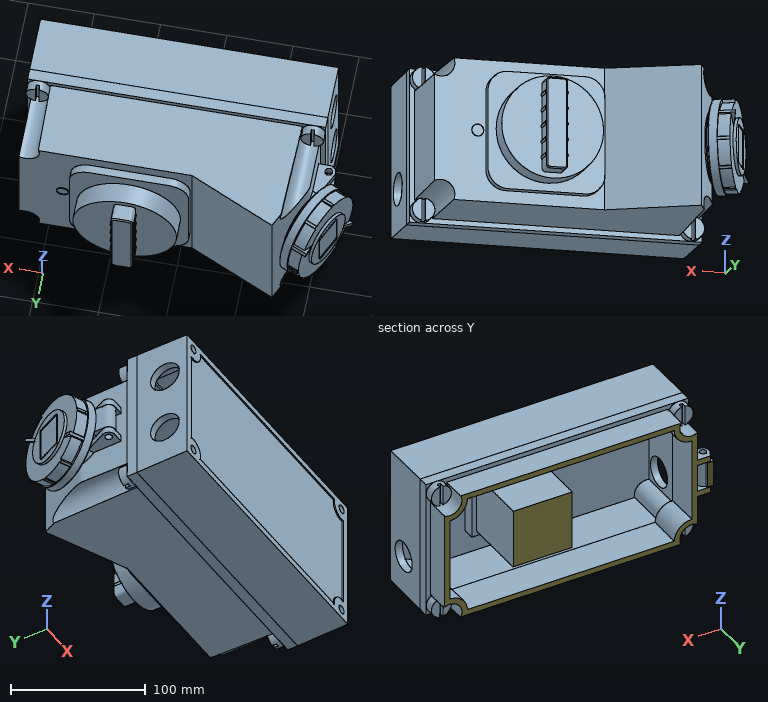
import cadquery as cq
import math

BOX_LENGTH = 225.3
BOX_WIDTH = 118.0
BASE_HEIGHT = 44.0
BASE_DRAFT = 0.5
WALL = 6.3
FLOOR = 5.0
PANEL_RECESS = 1.0

SCREW_INSET_X = 8.8
SCREW_INSET_Z = 8.5
SCREW_X = (SCREW_INSET_X, BOX_LENGTH - SCREW_INSET_X)
SCREW_Z = (SCREW_INSET_Z - BOX_WIDTH / 2, BOX_WIDTH / 2 - SCREW_INSET_Z)
SCREW_POINTS = [(x, z) for x in SCREW_X for z in SCREW_Z]
SCREW_HOLE_RADIUS = 3.4
BOSS_RADIUS = 10.0
HEAD_RADIUS = 8.5
HEAD_HEIGHT = 7.5
SLOT_WIDTH = 2.5
SLOT_DEPTH = 3.8

CABLE_RADIUS = 12.5
CABLE_Y = 19.5
CABLE_Z = 25.5

FLANGE_HEIGHT = 8.5
FLANGE_TOP = BASE_HEIGHT + FLANGE_HEIGHT
COVER_INSET = 3.91
COVER_WALL = 5.0
COVER_DRAFT = 1.0
DECK_Y = 108.5
PEAK_X = 24.37
PEAK_Y = 139.5
SLANT_ANGLE = 25.0
SLANT_FILLET = 8.8
GROOVE_RADIUS = 9.9
GROOVE_TAPER = 0.9

SWITCH_X = 137.0
SWITCH_PLATE_SIZE = 90.0
SWITCH_PLATE_TOP = 115.0
SWITCH_PLATE_CORNER = 15.2
NECK_RADIUS = 16.0
KNOB_RADIUS = 39.1
KNOB_BOTTOM = 116.5
KNOB_TOP = 132.0
HANDLE_LENGTH = 69.7
HANDLE_WIDTH = 16.5
HANDLE_TOP = 145.2
HANDLE_CORNER = 3.0
HANDLE_CHAMFER = 1.0
GRIP_COUNT = 5
GRIP_PITCH = 12.0
GRIP_RADIUS = 1.65
GRIP_PROUD = 0.63
GRIP_TOP = 144.0
MECHANISM_BOTTOM = 8.3
MECHANISM_STEP_Y = 18.5
MECHANISM_FOOT_LENGTH = 58.5
MECHANISM_FOOT_WIDTH = 58.5
MECHANISM_LENGTH = 50.5
MECHANISM_WIDTH = 50.5
LAMP_X = 188.2
LAMP_RADIUS = 4.5
LAMP_HEIGHT = 0.63

SOCKET_FROM_PEAK = 40.0
COLLAR_RADIUS = 29.0
COLLAR_NECK_RADIUS = 25.3
COLLAR_RIM_START = 1.5
COLLAR_FLARE_START = -0.3
COLLAR_ROOT = -15.2
CAP_BACK = 3.0
CAP_LIP_TOP = 4.42
CAP_LIP_RADIUS = 33.3
CAP_BAND_TOP = 11.0
CAP_BAND_RADIUS = 36.0
CAP_FRONT = 20.58
CAP_GRIP_RADIUS = 34.9
CAP_RELIEF_RADIUS = 33.3
CAP_RIB_COUNT = 10
CAP_RIB_RADIUS = 35.9
CAP_RIB_WIDTH = 2.3
CAP_DISC_RADIUS = 21.6
CAP_DISC_TOP = 23.0
CAP_FIN_TOP = 24.0
CAP_RIB_START = 3.0
CAP_FIN_RIBS = (4, 9)
CAP_FIN_WIDTH = 2.5
CAP_LABEL_HEIGHT = 22.5
CAP_LABEL_WIDTH = 29.3
CAP_LABEL_DEPTH = 0.8
CAP_LABEL_CORNER = 1.3

HINGE_X = -4.8
HINGE_Y = 65.55
HINGE_RADIUS = 5.3
EAR_HALF_OUTER = 16.7
EAR_HALF_INNER = 11.4
EAR_TIP_X = -0.3
EAR_TIP_Y = 87.5
EAR_ROOT_Y = 86.0
EAR_HOLE_RADIUS = 2.8
BARREL_HALF_LENGTH = 11.0
BARREL_BORE_RADIUS = 1.8
FLAP_TOP_Y = 77.0
FLAP_BEND_X = -3.8
FLAP_BEND_Y = 76.3

SIN_SLANT = math.sin(math.radians(SLANT_ANGLE))
COS_SLANT = math.cos(math.radians(SLANT_ANGLE))
TAN_SLANT = math.tan(math.radians(SLANT_ANGLE))
SOCKET_X = PEAK_X - SOCKET_FROM_PEAK * SIN_SLANT
SOCKET_Y = PEAK_Y - SOCKET_FROM_PEAK * COS_SLANT


def level(y):
    """Workplane facing +Y at height y; local x is X and local y is -Z."""
    return cq.Workplane(cq.Plane((0, y, 0), xDir=(1, 0, 0), normal=(0, 1, 0)))


def socket_level(height):
    """Workplane on the socket axis facing out; local x runs down the slant, local y is Z."""
    origin = (SOCKET_X - height * COS_SLANT, SOCKET_Y + height * SIN_SLANT, 0)
    plane = cq.Plane(origin, xDir=(-SIN_SLANT, -COS_SLANT, 0), normal=(-COS_SLANT, SIN_SLANT, 0))
    return cq.Workplane(plane)


def socket_disc(radius, bottom, top):
    return socket_level(bottom).circle(radius).extrude(top - bottom)


def block(x_range, y_range, z_range):
    """Box between the given limits on each axis."""
    (x0, x1), (y0, y1), (z0, z1) = x_range, y_range, z_range
    return cq.Workplane("XY").box(x1 - x0, y1 - y0, z1 - z0, centered=False).translate((x0, y0, z0))


def tapered_bar(y0, half_width0, y1, half_width1):
    """Bar over the box length whose half width changes from y0 to y1."""
    section = [(y0, -half_width0), (y1, -half_width1), (y1, half_width1), (y0, half_width0)]
    return cq.Workplane("YZ").polyline(section).close().extrude(BOX_LENGTH)


def inner_panel(bottom, height):
    """Rectangle inside the walls, with its corners cut back around the screw bosses."""
    panel = (
        level(bottom)
        .center(BOX_LENGTH / 2, 0)
        .rect(BOX_LENGTH - 2 * WALL, BOX_WIDTH - 2 * WALL)
        .extrude(height)
    )
    bosses = level(bottom).pushPoints(SCREW_POINTS).circle(BOSS_RADIUS).extrude(height)
    return panel.cut(bosses)


def cable_hole(x_start, z):
    return (
        cq.Workplane("YZ", origin=(x_start, 0, 0))
        .center(CABLE_Y, z)
        .circle(CABLE_RADIUS)
        .extrude(WALL)
    )


def make_base():
    half_width = BOX_WIDTH / 2
    body = tapered_bar(0, half_width - BASE_DRAFT, BASE_HEIGHT, half_width)
    body = body.cut(inner_panel(0, PANEL_RECESS))
    body = body.cut(inner_panel(FLOOR, BASE_HEIGHT - FLOOR))
    body = body.cut(level(0).pushPoints(SCREW_POINTS).circle(SCREW_HOLE_RADIUS).extrude(BASE_HEIGHT))
    for z in (-CABLE_Z, CABLE_Z):
        body = body.cut(cable_hole(0, z))
    return body.cut(cable_hole(BOX_LENGTH - WALL, -CABLE_Z))


def hood(shrink, bottom):
    """Raised part of the cover, offset inwards by shrink and reaching down to bottom.

    It has a flat deck, a ramp up to the peak and a slanted socket face.
    """
    left = COVER_INSET + shrink
    right = BOX_LENGTH - left
    deck = DECK_Y - shrink
    peak_x = PEAK_X + shrink * (COS_SLANT - SIN_SLANT)
    peak_y = PEAK_Y - shrink * (COS_SLANT + SIN_SLANT)
    slant_foot_y = peak_y - (peak_x - left) / TAN_SLANT
    ramp_foot_x = peak_x + (peak_y - deck) / TAN_SLANT
    outline = [
        (left, bottom),
        (right, bottom),
        (right, deck),
        (ramp_foot_x, deck),
        (peak_x, peak_y),
        (left, slant_foot_y),
    ]
    body = cq.Workplane("XY").polyline(outline).close().extrude(BOX_WIDTH / 2, both=True)
    slant_foot = cq.selectors.NearestToPointSelector((left, slant_foot_y, 0))
    body = body.edges(slant_foot).fillet(SLANT_FILLET)
    half_width = BOX_WIDTH / 2 - left
    return body.intersect(tapered_bar(bottom, half_width, PEAK_Y, half_width - COVER_DRAFT))


def screw_grooves(radius, bottom):
    """Cones around the screw axes, widening from the given radius at bottom."""
    return (
        level(bottom)
        .pushPoints(SCREW_POINTS)
        .circle(radius)
        .extrude(PEAK_Y - bottom, taper=-GROOVE_TAPER)
    )


def cover_cavity():
    """Inside of the hood, with walls left around the screw grooves."""
    grooves = screw_grooves(GROOVE_RADIUS + COVER_WALL, BASE_HEIGHT)
    return hood(COVER_WALL, BASE_HEIGHT).cut(grooves)


def screw_heads():
    heads = level(FLANGE_TOP).pushPoints(SCREW_POINTS).circle(HEAD_RADIUS).extrude(HEAD_HEIGHT)
    slots = (
        level(FLANGE_TOP + HEAD_HEIGHT - SLOT_DEPTH)
        .pushPoints(SCREW_POINTS)
        .rect(SLOT_WIDTH, 2 * HEAD_RADIUS)
        .extrude(SLOT_DEPTH)
    )
    return heads.cut(slots)


def socket_collar():
    """Round neck out of the slanted face and end wall, flaring to the rim that meets the cap."""
    neck = socket_disc(COLLAR_NECK_RADIUS, COLLAR_ROOT, COLLAR_FLARE_START)
    flare = (
        socket_level(COLLAR_FLARE_START)
        .circle(COLLAR_NECK_RADIUS)
        .workplane(offset=COLLAR_RIM_START - COLLAR_FLARE_START)
        .circle(COLLAR_RADIUS)
        .loft()
    )
    rim = socket_disc(COLLAR_RADIUS, COLLAR_RIM_START, CAP_BACK)
    return neck.union(flare).union(rim)


def hinge_ear(z_start):
    """Ear with a round end about the hinge axis, tapering up along the cap."""
    thickness = EAR_HALF_OUTER - EAR_HALF_INNER
    cheek = [
        (COVER_INSET, HINGE_Y - HINGE_RADIUS),
        (COVER_INSET, EAR_ROOT_Y),
        (EAR_TIP_X, EAR_TIP_Y),
        (HINGE_X - HINGE_RADIUS * COS_SLANT, HINGE_Y + HINGE_RADIUS * SIN_SLANT),
        (HINGE_X, HINGE_Y - HINGE_RADIUS),
    ]
    plane = cq.Workplane("XY", origin=(0, 0, z_start))
    ear = plane.polyline(cheek).close().extrude(thickness)
    ear = ear.union(plane.center(HINGE_X, HINGE_Y).circle(HINGE_RADIUS).extrude(thickness))
    return ear.cut(plane.center(HINGE_X, HINGE_Y).circle(EAR_HOLE_RADIUS).extrude(thickness))


def switch_handle():
    height = HANDLE_TOP - KNOB_TOP
    bar = (
        level(KNOB_TOP)
        .center(SWITCH_X, 0)
        .rect(HANDLE_WIDTH, HANDLE_LENGTH)
        .extrude(height)
        .edges("|Y")
        .fillet(HANDLE_CORNER)
        .faces(">Y")
        .chamfer(HANDLE_CHAMFER)
    )
    offset = HANDLE_WIDTH / 2 + GRIP_PROUD - GRIP_RADIUS
    grip_points = [
        (SWITCH_X + side * offset, (i - (GRIP_COUNT - 1) / 2) * GRIP_PITCH)
        for side in (-1, 1)
        for i in range(GRIP_COUNT)
    ]
    grips = level(KNOB_TOP).pushPoints(grip_points).circle(GRIP_RADIUS).extrude(GRIP_TOP - KNOB_TOP)
    return bar.union(grips)


def switch_mechanism():
    """Switch body hanging from the deck, with a wider foot."""
    foot = (
        level(MECHANISM_BOTTOM)
        .center(SWITCH_X, 0)
        .rect(MECHANISM_FOOT_LENGTH, MECHANISM_FOOT_WIDTH)
        .extrude(MECHANISM_STEP_Y - MECHANISM_BOTTOM)
    )
    body = (
        level(MECHANISM_STEP_Y)
        .center(SWITCH_X, 0)
        .rect(MECHANISM_LENGTH, MECHANISM_WIDTH)
        .extrude(DECK_Y - MECHANISM_STEP_Y)
    )
    return foot.union(body)


def rotary_switch():
    plate = (
        level(DECK_Y)
        .center(SWITCH_X, 0)
        .rect(SWITCH_PLATE_SIZE, SWITCH_PLATE_SIZE)
        .extrude(SWITCH_PLATE_TOP - DECK_Y)
        .edges("|Y")
        .fillet(SWITCH_PLATE_CORNER)
    )
    neck = (
        level(SWITCH_PLATE_TOP)
        .center(SWITCH_X, 0)
        .circle(NECK_RADIUS)
        .extrude(KNOB_BOTTOM - SWITCH_PLATE_TOP)
    )
    knob = level(KNOB_BOTTOM).center(SWITCH_X, 0).circle(KNOB_RADIUS).extrude(KNOB_TOP - KNOB_BOTTOM)
    return plate.union(neck).union(knob).union(switch_handle())


def make_cover():
    flange_z = (-BOX_WIDTH / 2, BOX_WIDTH / 2)
    body = block((0, BOX_LENGTH), (BASE_HEIGHT, FLANGE_TOP), flange_z)
    body = body.union(hood(0, FLANGE_TOP).cut(screw_grooves(GROOVE_RADIUS, FLANGE_TOP)))
    body = body.cut(cover_cavity())
    body = body.union(switch_mechanism())
    body = body.union(screw_heads())
    body = body.union(socket_collar())
    body = body.union(hinge_ear(EAR_HALF_INNER)).union(hinge_ear(-EAR_HALF_OUTER))
    lamp = level(DECK_Y).center(LAMP_X, 0).circle(LAMP_RADIUS).extrude(LAMP_HEIGHT)
    return body.union(rotary_switch()).union(lamp)


def cap_spoke(angle, profile, width):
    """Radial bar on the cap at the given angle; profile lists (radius, height) points."""
    return (
        socket_level(0)
        .transformed(rotate=(0, 0, angle))
        .transformed(rotate=(90, 0, 0))
        .polyline(profile)
        .close()
        .extrude(width / 2, both=True)
    )


def relief_ring(angle):
    """Wedge of the grip band, one rib pitch wide from the given angle, outside the relief radius."""
    pitch = math.radians(360 / CAP_RIB_COUNT)
    reach = CAP_BAND_RADIUS / math.cos(pitch / 2)
    wedge = (
        socket_level(CAP_BAND_TOP)
        .transformed(rotate=(0, 0, angle))
        .polyline([(0, 0), (reach, 0), (reach * math.cos(pitch), reach * math.sin(pitch))])
        .close()
        .extrude(CAP_FRONT - CAP_BAND_TOP)
    )
    return wedge.cut(socket_disc(CAP_RELIEF_RADIUS, CAP_BAND_TOP, CAP_FRONT))


def cap_shell():
    body = socket_disc(CAP_LIP_RADIUS, CAP_BACK, CAP_LIP_TOP)
    body = body.union(socket_disc(CAP_BAND_RADIUS, CAP_LIP_TOP, CAP_BAND_TOP))
    body = body.union(socket_disc(CAP_GRIP_RADIUS, CAP_BAND_TOP, CAP_FRONT))
    rib_profile = [
        (CAP_DISC_RADIUS, CAP_BAND_TOP),
        (CAP_RIB_RADIUS, CAP_BAND_TOP),
        (CAP_RIB_RADIUS, CAP_FRONT),
        (CAP_DISC_RADIUS, CAP_FRONT),
    ]
    fin_profile = [
        (CAP_DISC_RADIUS, CAP_BAND_TOP),
        (CAP_BAND_RADIUS, CAP_BAND_TOP),
        (CAP_BAND_RADIUS, CAP_FIN_TOP),
        (CAP_DISC_RADIUS, CAP_FRONT),
    ]
    pitch = 360 / CAP_RIB_COUNT
    for i in CAP_FIN_RIBS:
        body = body.cut(relief_ring(CAP_RIB_START + (i - 1) * pitch))
    for i in range(CAP_RIB_COUNT):
        angle = CAP_RIB_START + i * pitch
        if i in CAP_FIN_RIBS:
            body = body.union(cap_spoke(angle, fin_profile, CAP_FIN_WIDTH))
        else:
            body = body.union(cap_spoke(angle, rib_profile, CAP_RIB_WIDTH))
    return body


def cap_disc():
    disc = socket_disc(CAP_DISC_RADIUS, CAP_FRONT, CAP_DISC_TOP)
    label = (
        socket_level(CAP_DISC_TOP - CAP_LABEL_DEPTH)
        .rect(CAP_LABEL_HEIGHT, CAP_LABEL_WIDTH)
        .extrude(CAP_LABEL_DEPTH)
    )
    direction = cq.Vector(-COS_SLANT, SIN_SLANT, 0)
    label = label.edges(cq.selectors.ParallelDirSelector(direction)).fillet(CAP_LABEL_CORNER)
    return disc.cut(label)


def hinge_barrel():
    """Barrel between the ears with a flap that reaches up into the back of the cap."""
    flap = [
        (HINGE_X - HINGE_RADIUS, HINGE_Y),
        (HINGE_X - HINGE_RADIUS, FLAP_TOP_Y),
        (FLAP_BEND_X, FLAP_BEND_Y),
        (HINGE_X, HINGE_Y),
    ]
    plane = cq.Workplane("XY")
    axis = plane.center(HINGE_X, HINGE_Y)
    barrel = axis.circle(HINGE_RADIUS).extrude(BARREL_HALF_LENGTH, both=True)
    barrel = barrel.union(plane.polyline(flap).close().extrude(BARREL_HALF_LENGTH, both=True))
    return barrel.cut(axis.circle(BARREL_BORE_RADIUS).extrude(BARREL_HALF_LENGTH, both=True))


def make_cap():
    return cap_shell().union(cap_disc()).union(hinge_barrel())


base = make_base()
cover = make_cover()
cap = make_cap()

result = cq.Compound.makeCompound([base.val(), cover.val(), cap.val()])